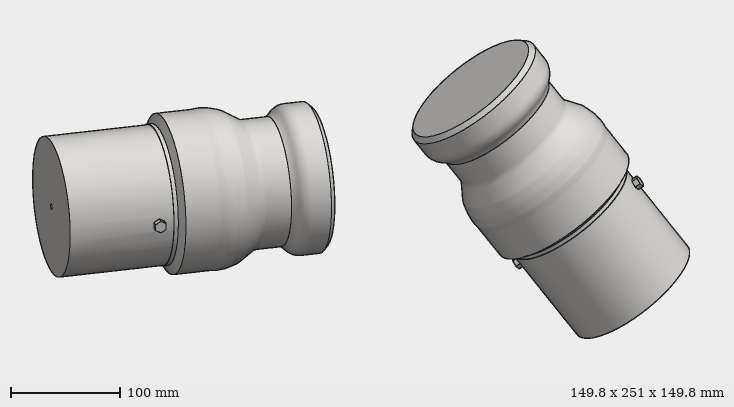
import cadquery as cq
import math

LENGTH = 251.0

BARREL_RADIUS = 129.8 / 2
STEP_RADIUS = 131.0 / 2
STEP_START = 98.5
COLLAR_BEVEL_START = 102.5
COLLAR_START = 107.2

CREST_Y = 147.8
CREST_RADIUS = 74.92
FRONT_ARC_RADIUS = 45.2
REAR_ARC_RADIUS = 40.2
BELLY_START = 140.5
BELLY_END = 159.1

CONE_START = 167.5
CONE_START_RADIUS = 70.5
CONE_END = 182.0
CONE_END_RADIUS = 61.5
NECK_START = 187.2
NECK_RADIUS = 120.0 / 2

FLARE_START = 211.3
FLARE_END = 217.4
FLARE_END_RADIUS = 64.5
FLARE_ARC_RADIUS = 20.0
RIM_START = 230.0
RIM_ARC_RADIUS = 15.0
RIM_RADIUS = 140.0 / 2
RIM_END = 246.5
REAR_FACE_RADIUS = 131.0 / 2

PLUG_Y = 84.5
PLUG_DIAMETER = 14.3
PLUG_DEPTH = 5.0
HEAD_TIP = 70.3
HEAD_FLATS = 10.0

CENTRE_HOLE_DIAMETER = 5.0
CENTRE_HOLE_DEPTH = 5.0


def belly_radius_at(y, arc_radius):
    """Radius of the belly at a position along the axis, on an arc tangent to its crest."""
    return CREST_RADIUS - arc_radius + math.sqrt(arc_radius**2 - (y - CREST_Y) ** 2)


def make_body():
    """Revolve the outer profile, drawn as (radius, Y), about the Y axis."""
    belly_end_radius = belly_radius_at(BELLY_END, REAR_ARC_RADIUS)
    belly_slope = (
        CREST_Y - BELLY_END,
        belly_end_radius - CREST_RADIUS + REAR_ARC_RADIUS,
    )
    cone_slope = (CONE_END_RADIUS - CONE_START_RADIUS, CONE_END - CONE_START)
    collar_radius = belly_radius_at(BELLY_START, FRONT_ARC_RADIUS)
    profile = (
        cq.Workplane("XY")
        .lineTo(BARREL_RADIUS, 0)
        .lineTo(BARREL_RADIUS, STEP_START)
        .lineTo(STEP_RADIUS, STEP_START)
        .lineTo(STEP_RADIUS, COLLAR_BEVEL_START)
        .lineTo(collar_radius, COLLAR_START)
        .lineTo(collar_radius, BELLY_START)
        .radiusArc((CREST_RADIUS, CREST_Y), -FRONT_ARC_RADIUS)
        .radiusArc((belly_end_radius, BELLY_END), -REAR_ARC_RADIUS)
        .spline([(CONE_START_RADIUS, CONE_START)], tangents=[belly_slope, cone_slope], includeCurrent=True)
        .lineTo(CONE_END_RADIUS, CONE_END)
        .tangentArcPoint((NECK_RADIUS, NECK_START), relative=False)
        .lineTo(NECK_RADIUS, FLARE_START)
        .radiusArc((FLARE_END_RADIUS, FLARE_END), FLARE_ARC_RADIUS)
        .radiusArc((RIM_RADIUS, RIM_START), -RIM_ARC_RADIUS)
        .lineTo(RIM_RADIUS, RIM_END)
        .lineTo(REAR_FACE_RADIUS, LENGTH)
        .lineTo(0, LENGTH)
        .close()
    )
    return profile.revolve(360, (0, 0, 0), (0, 1, 0))


def add_plug(body, side):
    """Set a flush round plug with a hexagonal head, corners along Z, into the side (+1 or -1)."""
    floor = BARREL_RADIUS - PLUG_DEPTH
    height = HEAD_TIP - floor
    head_corners = HEAD_FLATS / math.cos(math.pi / 6)
    plane = cq.Plane(origin=(side * floor, PLUG_Y, 0), xDir=(0, 0, 1), normal=(side, 0, 0))
    bore = cq.Workplane(plane).circle(PLUG_DIAMETER / 2).extrude(height)
    head = cq.Workplane(plane).polygon(6, head_corners).extrude(height)
    plug = body.intersect(bore)
    return body.cut(bore, clean=False).union(plug, clean=False).union(head, clean=False)


def make_centre_hole():
    """Blind hole going into the front face along +Y."""
    front_plane = cq.Workplane("XZ")
    return front_plane.circle(CENTRE_HOLE_DIAMETER / 2).extrude(-CENTRE_HOLE_DEPTH)


result = make_body().cut(make_centre_hole(), clean=False)
for plug_side in (-1, 1):
    result = add_plug(result, plug_side)